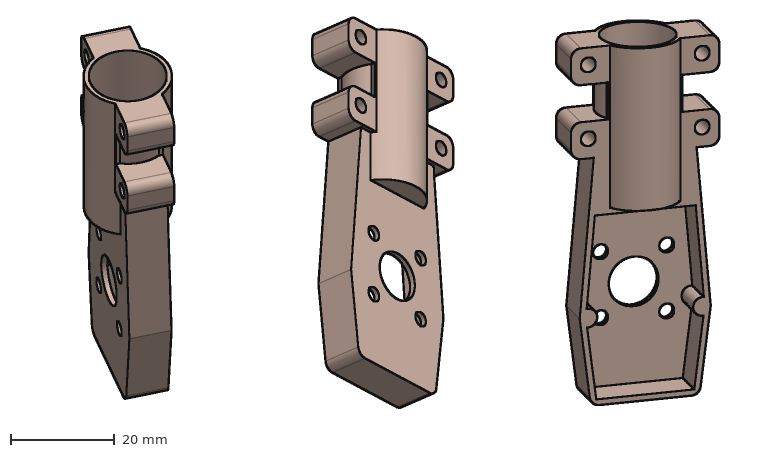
import cadquery as cq

total_height = 72.8
wall = 1.25

tube_radius = 8.5
bore_radius = 7.5
tube_length = 33.0
tube_bottom = total_height - tube_length

lug_span = 30.0
lug_height = 7.5
lug_depth = 9.5
lug_corner = 2.0
lug_hole_x = 11.5
lug_hole_drop = 3.5
web_half_width = 7.6
lug_levels = (total_height, total_height - 2 * lug_height)

plate_back = lug_depth / 2
plate_depth = 8.5
plate_front = plate_back - plate_depth
plate_top = lug_levels[-1] - lug_height
bottom_half_width = 11.0
widest_half_width = 13.25
widest_height = 17.9
top_half_width = 10.4
plate_corner = 2.0

motor_height = 21.85
motor_radius = 5.0
motor_screw_offset = 6.7
screw_hole_diameter = 3.0

post_radius = 1.9
post_x = 11.6


def y_prism(sketch, front, back):
    """Place an XZ outline at Y = front and extrude it to Y = back."""
    return sketch.extrude(front - back).translate((0, front, 0))


def plate_outline():
    return cq.Workplane("XZ").polyline([
        (-bottom_half_width, 0),
        (bottom_half_width, 0),
        (widest_half_width, widest_height),
        (top_half_width, plate_top),
        (-top_half_width, plate_top),
        (-widest_half_width, widest_height),
    ]).close()


def y_cylinders(points, radius, front, back):
    return y_prism(cq.Workplane("XZ").pushPoints(points).circle(radius), front, back)


def motor_plate():
    body = y_prism(plate_outline(), plate_front, plate_back)
    body = body.edges("|Y and <Z").fillet(plate_corner)

    pocket_floor = plate_front + wall
    pocket = y_prism(plate_outline().offset2D(-wall, "intersection"), pocket_floor, plate_back)
    pocket_limit = cq.Workplane("XY").box(
        lug_span, 2 * plate_depth, tube_bottom - wall, centered=(True, True, False)
    )
    body = body.cut(pocket.intersect(pocket_limit))

    post_points = [(side * post_x, widest_height) for side in (-1, 1)]
    posts = y_cylinders(post_points, post_radius, plate_front, plate_back)
    return body.union(posts.intersect(y_prism(plate_outline(), plate_front, plate_back)))


def clamp_lugs(top):
    return (
        cq.Workplane("XY")
        .box(lug_span, lug_depth, lug_height)
        .edges("|Y")
        .fillet(lug_corner)
        .translate((0, 0, top - lug_height / 2))
    )


def lug_web():
    """Flat-sided core that joins the two lug levels along the tube."""
    return (
        cq.Workplane("XY")
        .workplane(offset=plate_top)
        .rect(2 * web_half_width, lug_depth)
        .extrude(total_height - plate_top)
    )


result = motor_plate().union(lug_web())
for level in lug_levels:
    result = result.union(clamp_lugs(level))
result = result.union(
    cq.Workplane("XY").workplane(offset=tube_bottom).circle(tube_radius).extrude(tube_length)
)

bore = (
    cq.Workplane("XY")
    .workplane(offset=tube_bottom + wall)
    .circle(bore_radius)
    .extrude(tube_length - wall)
)
result = result.cut(bore)

screw_points = [
    (side * lug_hole_x, level - lug_hole_drop)
    for side in (-1, 1)
    for level in lug_levels
]
screw_points += [
    (side * motor_screw_offset, motor_height + rise * motor_screw_offset)
    for side in (-1, 1)
    for rise in (-1, 1)
]
result = result.cut(y_cylinders(screw_points, screw_hole_diameter / 2, -tube_radius, tube_radius))
result = result.cut(y_cylinders([(0, motor_height)], motor_radius, -tube_radius, tube_radius))